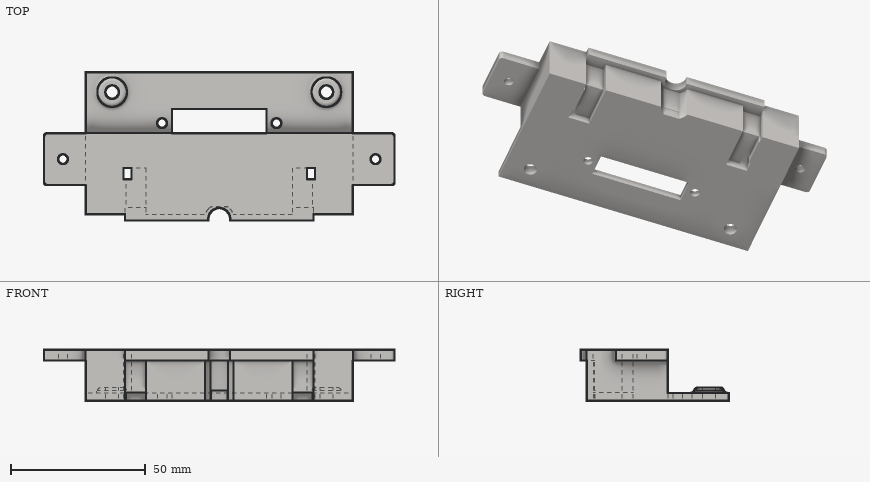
import cadquery as cq

TOTAL_LENGTH = 129.98
TOTAL_DEPTH = 55.0
TOTAL_HEIGHT = 19.0

BODY_LENGTH = 99.0
PLATE_THICKNESS = 3.0
BLOCK_REAR = 22.6
LIP_LENGTH = 70.0
LIP_OVERHANG = 2.3
BLOCK_FRONT = TOTAL_DEPTH - LIP_OVERHANG

FLANGE_THICKNESS = 4.0
FLANGE_DEPTH = 19.3
FLANGE_CORNER_RADIUS = 1.3
FLANGE_UNDERSIDE = TOTAL_HEIGHT - FLANGE_THICKNESS

SCREW_HOLE_DIAMETER = 3.5
FLANGE_HOLE_X = 57.9
FLANGE_HOLE_DISTANCE = BLOCK_REAR + FLANGE_DEPTH / 2
PLATE_HOLE_X = 21.2
PLATE_HOLE_DISTANCE = 18.9

BOSS_X = 39.7
BOSS_DISTANCE = 7.4
BOSS_HEIGHT = 2.0
BOSS_BASE_RADIUS = 7.1
BOSS_MIDDLE_RADIUS = 5.5
BOSS_TOP_RADIUS = 4.1
BOSS_FLARE_HEIGHT = 0.8
BOSS_FLARE_RADIUS = 1.8
BOSS_EDGE_RADIUS = 1.5
BOSS_HOLE_DIAMETER = 4.9

WINDOW_LENGTH = 35.0
WINDOW_REAR = 13.7

SLOT_LENGTH = 2.8
SLOT_WIDTH = 4.0
SLOT_X = 34.0
SLOT_DISTANCE = 37.6
SLOT_REAR = SLOT_DISTANCE - SLOT_WIDTH / 2
SLOT_FRONT = SLOT_DISTANCE + SLOT_WIDTH / 2

NOTCH_INNER_X = 27.2
NOTCH_OUTER_X = LIP_LENGTH / 2
NOTCH_DEPTH = 2.5
PASSAGE_OUTER_X = 34.6
PASSAGE_HEIGHT = 3.1

CENTER_NOTCH_DISTANCE = 54.4
LIP_NOTCH_RADIUS = 4.0
BLOCK_NOTCH_RADIUS = 5.5
BLOCK_NOTCH_DEPTH = 2.8
RECESS_LENGTH = 6.0
RECESS_HEIGHT = 3.8
RECESS_DEPTH = 0.2


def box(x_min, x_max, rear, front, z_min, z_max):
    """Box between two X positions, two distances from the rear edge and two heights."""
    size = (x_max - x_min, front - rear, z_max - z_min)
    return cq.Workplane("XY").box(*size, centered=False).translate((x_min, -front, z_min))


def centered_box(length, rear, front, z_min, z_max):
    return box(-length / 2, length / 2, rear, front, z_min, z_max)


def upright_cylinder(x, distance, radius, z_min, z_max):
    cylinder = cq.Workplane("XY").circle(radius).extrude(z_max - z_min)
    return cylinder.translate((x, -distance, z_min))


def through_hole(x, distance, diameter):
    return upright_cylinder(x, distance, diameter / 2, 0, TOTAL_HEIGHT)


def make_body():
    plate = centered_box(BODY_LENGTH, 0, BLOCK_FRONT, 0, PLATE_THICKNESS)
    block = centered_box(BODY_LENGTH, BLOCK_REAR, BLOCK_FRONT, 0, TOTAL_HEIGHT)
    lip = centered_box(LIP_LENGTH, BLOCK_REAR, TOTAL_DEPTH, FLANGE_UNDERSIDE, TOTAL_HEIGHT)
    flange_front = BLOCK_REAR + FLANGE_DEPTH
    flange = centered_box(TOTAL_LENGTH, BLOCK_REAR, flange_front, FLANGE_UNDERSIDE, TOTAL_HEIGHT)
    flange = flange.edges("|Z").fillet(FLANGE_CORNER_RADIUS)
    return plate.union(block).union(lip).union(flange)


def make_boss(x):
    """Round boss with a flared foot and a rounded top edge."""
    flare_top = PLATE_THICKNESS + BOSS_FLARE_HEIGHT
    boss_top = PLATE_THICKNESS + BOSS_HEIGHT
    profile = (
        cq.Workplane("XZ")
        .lineTo(BOSS_BASE_RADIUS, 0)
        .lineTo(BOSS_BASE_RADIUS, PLATE_THICKNESS)
        .radiusArc((BOSS_MIDDLE_RADIUS, flare_top), BOSS_FLARE_RADIUS)
        .radiusArc((BOSS_TOP_RADIUS, boss_top), -BOSS_EDGE_RADIUS)
        .lineTo(0, boss_top)
        .close()
    )
    return profile.revolve(360, (0, 0, 0), (0, 1, 0)).translate((x, -BOSS_DISTANCE, 0))


def make_side_notch(side):
    """Front notch and low passage; side is -1 for left and 1 for right."""
    notch_rear = BLOCK_FRONT - NOTCH_DEPTH
    notch = box(NOTCH_INNER_X, NOTCH_OUTER_X, notch_rear, BLOCK_FRONT, 0, FLANGE_UNDERSIDE)
    passage = box(NOTCH_INNER_X, PASSAGE_OUTER_X, SLOT_REAR, BLOCK_FRONT, 0, PASSAGE_HEIGHT)
    cutter = notch.union(passage)
    return cutter if side > 0 else cutter.mirror("YZ")


def make_slot(x):
    half_length = SLOT_LENGTH / 2
    return box(x - half_length, x + half_length, SLOT_REAR, SLOT_FRONT, 0, TOTAL_HEIGHT)


def make_center_notch():
    distance = CENTER_NOTCH_DISTANCE
    lip_notch = upright_cylinder(0, distance, LIP_NOTCH_RADIUS, FLANGE_UNDERSIDE, TOTAL_HEIGHT)
    wall = BLOCK_FRONT - BLOCK_NOTCH_DEPTH
    block_notch = upright_cylinder(0, distance, BLOCK_NOTCH_RADIUS, 0, FLANGE_UNDERSIDE)
    block_notch = block_notch.intersect(
        centered_box(2 * BLOCK_NOTCH_RADIUS, wall, TOTAL_DEPTH, 0, FLANGE_UNDERSIDE)
    )
    recess = centered_box(RECESS_LENGTH, wall - RECESS_DEPTH, BLOCK_FRONT, 0, RECESS_HEIGHT)
    return lip_notch.union(block_notch).union(recess)


result = make_body()
result = result.cut(centered_box(WINDOW_LENGTH, WINDOW_REAR, BLOCK_REAR, 0, PLATE_THICKNESS))
result = result.cut(make_center_notch())
for side in (-1, 1):
    result = result.union(make_boss(side * BOSS_X))
    result = result.cut(through_hole(side * BOSS_X, BOSS_DISTANCE, BOSS_HOLE_DIAMETER))
    result = result.cut(through_hole(side * PLATE_HOLE_X, PLATE_HOLE_DISTANCE, SCREW_HOLE_DIAMETER))
    result = result.cut(through_hole(side * FLANGE_HOLE_X, FLANGE_HOLE_DISTANCE, SCREW_HOLE_DIAMETER))
    result = result.cut(make_side_notch(side))
    result = result.cut(make_slot(side * SLOT_X))